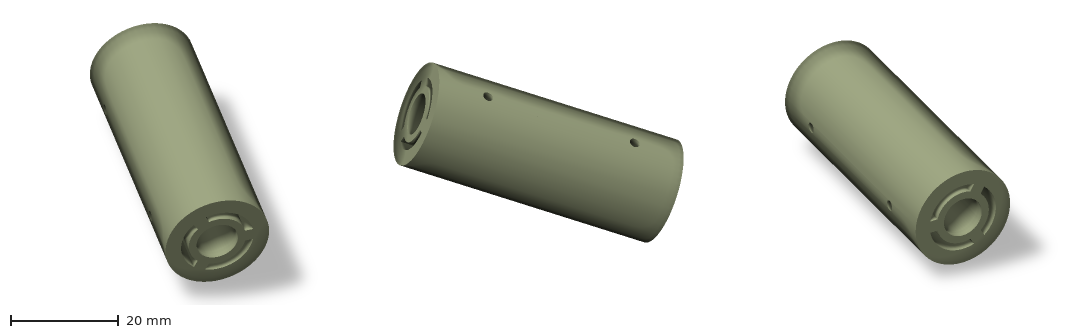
import cadquery as cq

length = 50.0
outer_radius = 10.0
bore_radius = 4.0

channel_inner_radius = 5.5
channel_outer_radius = 7.0
rib_count = 3
rib_width = 2.5

cross_hole_diameter = 2.0
cross_hole_end_distance = 10.0


def tube(outer, inner):
    """Full-length tube with the given radii."""
    return cq.Workplane("YZ").circle(outer).circle(inner).extrude(length)


def channels():
    """Annular space divided by straight radial ribs, the first one towards +Y."""
    space = tube(channel_outer_radius, channel_inner_radius)
    rib = cq.Workplane("XY").box(
        length, outer_radius, rib_width, centered=(False, False, True)
    )
    for index in range(rib_count):
        angle = index * 360 / rib_count
        space = space.cut(rib.rotate((0, 0, 0), (1, 0, 0), angle))
    return space


def cross_holes():
    """Two holes passing through the full diameter."""
    positions = [(cross_hole_end_distance, 0), (length - cross_hole_end_distance, 0)]
    return (
        cq.Workplane("XZ")
        .pushPoints(positions)
        .circle(cross_hole_diameter / 2)
        .extrude(outer_radius, both=True)
    )


result = tube(outer_radius, bore_radius).cut(channels()).cut(cross_holes())